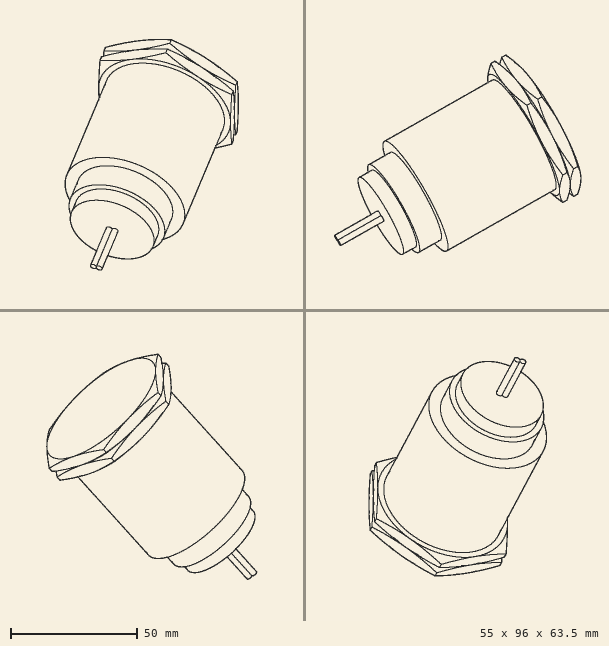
import cadquery as cq
import math

total_length = 96.0
nut_thickness = 5.0
nut_count = 2
body_length = 50.0
collar_length = 10.1
cap_length = 6.0

nut_across_flats = 55.0
nut_chamfer_depth = 1.5
body_diameter = 50.0
collar_diameter = 40.0
cap_diameter = 35.0
wire_diameter = 2.5
wire_spacing = 2.4

nut_across_corners = nut_across_flats / math.cos(math.pi / 6)
nut_stack_length = nut_count * nut_thickness


def cylinder(diameter, start, length, x=0.0):
    """Cylinder running from depth `start` towards -Y."""
    profile = cq.Workplane("XZ", origin=(x, -start, 0)).circle(diameter / 2)
    return profile.extrude(length)


def hex_nut(start):
    """Hexagon with corners on the Z axis and both faces chamfered by a cone."""
    hexagon = (
        cq.Workplane("XZ", origin=(0, -start, 0))
        .transformed(rotate=(0, 0, 90))
        .polygon(6, nut_across_corners)
        .extrude(nut_thickness)
    )
    corner_radius = nut_across_corners / 2
    chamfer_width = corner_radius - nut_across_flats / 2
    envelope = (
        cylinder(nut_across_corners, start, nut_thickness)
        .edges("%CIRCLE")
        .chamfer(nut_chamfer_depth, chamfer_width)
    )
    return hexagon.intersect(envelope)


collar_start = nut_stack_length + body_length
cap_start = collar_start + collar_length
wire_start = cap_start + cap_length
result = cylinder(body_diameter, 0, collar_start)
result = result.union(cylinder(collar_diameter, collar_start, collar_length))
result = result.union(cylinder(cap_diameter, cap_start, cap_length))

for index in range(nut_count):
    result = result.union(hex_nut(index * nut_thickness))

for side in (-1, 1):
    wire_x = side * wire_spacing / 2
    result = result.union(cylinder(wire_diameter, wire_start, total_length - wire_start, wire_x))